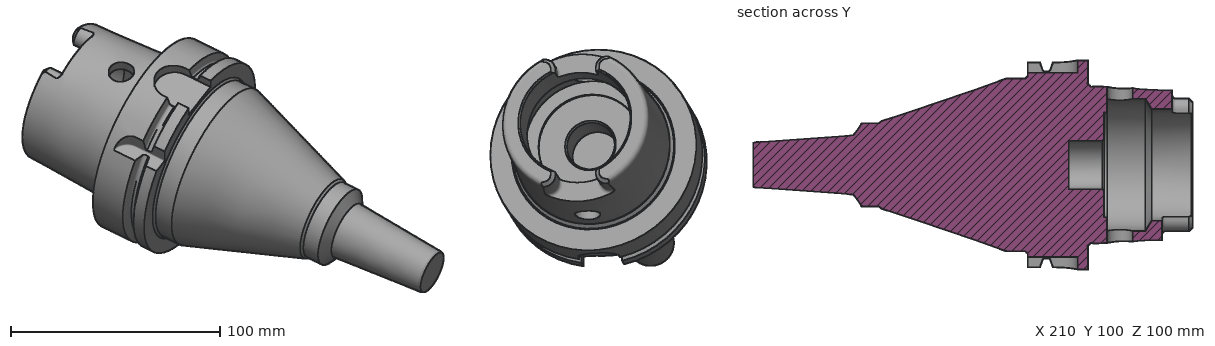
import cadquery as cq
import math

TOTAL_LENGTH = 210.0
FLANGE_START = 50.0
FLANGE_END = 79.0
FLANGE_RADIUS = 50.0

SHANK_BASE_RADIUS = 37.8
SHANK_TAPER = 1 / 20
SHANK_END_ROUND = 2.3
UNDERCUT_START = 47.5
UNDERCUT_RADIUS = 37.4
UNDERCUT_SLOPE = 0.6
UNDERCUT_FLOOR_END = 48.7
FACE_RELIEF_RADIUS = 39.7
FACE_RELIEF_SLOPE = 0.6
FACE_RELIEF_DEPTH = 0.5

GROOVE_CENTER = 70.0
GROOVE_FLOOR_RADIUS = 45.8
GROOVE_FLOOR_WIDTH = 3.2
GROOVE_MOUTH_WIDTH = 6.0
GROOVE_FLOOR_ROUND = 1.0

COLLAR_RADIUS = 41.4
COLLAR_END = 89.0
COLLAR_CHAMFER = 1.0
CONE_END = 148.7
CONE_END_RADIUS = 21.0
STEP_LENGTH = 1.3
RING_RADIUS = 20.0
RING_END = 158.1
TIP_START = 162.1
TIP_START_RADIUS = 14.3
TIP_END_RADIUS = 10.5
TIP_CHAMFER_LENGTH = 1.3
TIP_CHAMFER_HEIGHT = 0.5

BORE_RADIUS = 26.7
BORE_CHAMFER = 0.8
CAVITY_RADIUS = 31.5
CAVITY_START = 19.7
CAVITY_SHOULDER_LENGTH = 3.0
CAVITY_END = 41.0
RECESS_RADIUS = 25.0
RECESS_DEPTH = 1.5
TUBE_HOLE_RADIUS = 11.5
TUBE_HOLE_DEPTH = 16.8
TUBE_HOLE_CHAMFER = 0.8

CROSS_HOLE_X = 34.9
CROSS_HOLE_DIAMETER = 12.2

DRIVE_SLOT_WIDTH = 19.7
DRIVE_SLOT_DEPTH_TOP = 9.9
DRIVE_SLOT_DEPTH_BOTTOM = 14.7
DRIVE_SLOT_SHOULDER = 31.7
DRIVE_SLOT_WALL_ROUND = 5.2
DRIVE_SLOT_MOUTH_CHAMFER = 1.9
DRIVE_SLOT_FLOOR_ROUND = 1.7

KEYWAY_WIDTH = 19.7
KEYWAY_START = 55.0
KEYWAY_FLOOR = 44.0
NOTCH_START = 54.8
NOTCH_CORNER = 31.5
NOTCH_END_RADIUS = 7.8
NOTCH_CORNER_ROUND = 0.6


def make_body():
    """Outer profile turned about the X axis."""
    end_radius = SHANK_BASE_RADIUS - SHANK_TAPER * FLANGE_START
    undercut_rim = SHANK_BASE_RADIUS - SHANK_TAPER * (FLANGE_START - UNDERCUT_START)
    round_diagonal = SHANK_END_ROUND * (1 - math.sqrt(0.5))
    relief_x = FLANGE_START + FACE_RELIEF_DEPTH
    return (
        cq.Workplane("XY")
        .moveTo(0, 0)
        .lineTo(0, end_radius - SHANK_END_ROUND)
        .threePointArc(
            (round_diagonal, end_radius - round_diagonal),
            (SHANK_END_ROUND, end_radius + SHANK_TAPER * SHANK_END_ROUND),
        )
        .lineTo(UNDERCUT_START, undercut_rim)
        .lineTo(UNDERCUT_START + UNDERCUT_SLOPE, UNDERCUT_RADIUS)
        .lineTo(UNDERCUT_FLOOR_END, UNDERCUT_RADIUS)
        .lineTo(relief_x, FACE_RELIEF_RADIUS - FACE_RELIEF_SLOPE)
        .lineTo(FLANGE_START, FACE_RELIEF_RADIUS)
        .lineTo(FLANGE_START, FLANGE_RADIUS)
        .lineTo(FLANGE_END, FLANGE_RADIUS)
        .lineTo(FLANGE_END, COLLAR_RADIUS + COLLAR_CHAMFER)
        .lineTo(FLANGE_END + COLLAR_CHAMFER, COLLAR_RADIUS)
        .lineTo(COLLAR_END, COLLAR_RADIUS)
        .lineTo(CONE_END, CONE_END_RADIUS)
        .lineTo(CONE_END + STEP_LENGTH, RING_RADIUS)
        .lineTo(RING_END, RING_RADIUS)
        .lineTo(TIP_START, TIP_START_RADIUS)
        .lineTo(TOTAL_LENGTH - TIP_CHAMFER_LENGTH, TIP_END_RADIUS + TIP_CHAMFER_HEIGHT)
        .lineTo(TOTAL_LENGTH, TIP_END_RADIUS)
        .lineTo(TOTAL_LENGTH, 0)
        .close()
        .revolve(360, (0, 0, 0), (1, 0, 0))
    )


def make_groove():
    """V-shaped ring with rounded floor corners, turned about the X axis."""
    half_mouth = GROOVE_MOUTH_WIDTH / 2
    half_floor = GROOVE_FLOOR_WIDTH / 2
    ring = (
        cq.Workplane("XY")
        .moveTo(GROOVE_CENTER - half_mouth, FLANGE_RADIUS)
        .lineTo(GROOVE_CENTER - half_floor, GROOVE_FLOOR_RADIUS)
        .lineTo(GROOVE_CENTER + half_floor, GROOVE_FLOOR_RADIUS)
        .lineTo(GROOVE_CENTER + half_mouth, FLANGE_RADIUS)
        .close()
        .revolve(360, (0, 0, 0), (1, 0, 0))
    )
    return ring.edges(cq.selectors.RadiusNthSelector(0)).fillet(GROOVE_FLOOR_ROUND)


def make_bore():
    """Stepped hollow of the shank, turned about the X axis."""
    recess_end = CAVITY_END + RECESS_DEPTH
    hole_end = recess_end + TUBE_HOLE_DEPTH
    return (
        cq.Workplane("XY")
        .moveTo(0, 0)
        .lineTo(0, BORE_RADIUS + BORE_CHAMFER)
        .lineTo(BORE_CHAMFER, BORE_RADIUS)
        .lineTo(CAVITY_START, BORE_RADIUS)
        .lineTo(CAVITY_START + CAVITY_SHOULDER_LENGTH, CAVITY_RADIUS)
        .lineTo(CAVITY_END, CAVITY_RADIUS)
        .lineTo(CAVITY_END, RECESS_RADIUS)
        .lineTo(recess_end, RECESS_RADIUS)
        .lineTo(recess_end, TUBE_HOLE_RADIUS + TUBE_HOLE_CHAMFER)
        .lineTo(recess_end + TUBE_HOLE_CHAMFER, TUBE_HOLE_RADIUS)
        .lineTo(hole_end, TUBE_HOLE_RADIUS)
        .lineTo(hole_end, 0)
        .close()
        .revolve(360, (0, 0, 0), (1, 0, 0))
    )


def drive_slot_outline(plane_x, offset):
    """Slot section at plane_x, with its walls and shoulders moved outward by offset."""
    half_width = DRIVE_SLOT_WIDTH / 2 + offset
    shoulder_z = DRIVE_SLOT_SHOULDER - offset
    wall_round = DRIVE_SLOT_WALL_ROUND - offset
    wall_top = shoulder_z - wall_round
    shoulder_y = half_width + wall_round
    arc_mid_y = shoulder_y - wall_round * math.sqrt(0.5)
    arc_mid_z = wall_top + wall_round * math.sqrt(0.5)
    return (
        cq.Workplane("YZ", origin=(plane_x, 0, 0))
        .moveTo(-half_width, 0)
        .lineTo(-half_width, wall_top)
        .threePointArc((-arc_mid_y, arc_mid_z), (-shoulder_y, shoulder_z))
        .lineTo(-FLANGE_RADIUS, shoulder_z)
        .lineTo(-FLANGE_RADIUS, FLANGE_RADIUS)
        .lineTo(FLANGE_RADIUS, FLANGE_RADIUS)
        .lineTo(FLANGE_RADIUS, shoulder_z)
        .lineTo(shoulder_y, shoulder_z)
        .threePointArc((arc_mid_y, arc_mid_z), (half_width, wall_top))
        .lineTo(half_width, 0)
        .close()
    )


def make_drive_slot(depth):
    """Slot on the +Z side whose side walls curve outward to flat shoulders."""
    slot = drive_slot_outline(0, 0).extrude(depth)
    margin = 0.2
    reach = FLANGE_RADIUS - margin
    floor_corners = cq.selectors.BoxSelector(
        (depth - margin, -reach, margin),
        (depth + margin, reach, reach),
    )
    slot = slot.edges(floor_corners).fillet(DRIVE_SLOT_FLOOR_ROUND)
    mouth = drive_slot_outline(0, DRIVE_SLOT_MOUTH_CHAMFER).wires().val()
    throat = drive_slot_outline(DRIVE_SLOT_MOUTH_CHAMFER, 0).wires().val()
    flare = cq.Solid.makeLoft([mouth, throat], True)
    return slot.union(cq.Workplane(obj=flare))


def make_keyway():
    """Round-ended flat keyway on the +Z side, open toward the nose."""
    radius = KEYWAY_WIDTH / 2
    center_x = KEYWAY_START + radius
    length = FLANGE_END - center_x
    floor_plane = cq.Workplane("XY", origin=(center_x, 0, KEYWAY_FLOOR))
    round_end = floor_plane.circle(radius).extrude(FLANGE_RADIUS)
    straight = floor_plane.box(length, KEYWAY_WIDTH, FLANGE_RADIUS, centered=(False, True, False))
    return round_end.union(straight)


def make_notch():
    """Square-cornered notch at 45 degrees between -Y and +Z, rounded at its closed end."""
    size = FLANGE_RADIUS
    return (
        cq.Workplane("XY")
        .box(FLANGE_END - NOTCH_START, size, size, centered=False)
        .edges("<X and >Y")
        .fillet(NOTCH_END_RADIUS)
        .faces("<Z")
        .edges(">Y")
        .fillet(NOTCH_CORNER_ROUND)
        .translate((NOTCH_START, -NOTCH_CORNER - size, NOTCH_CORNER))
    )


def on_opposite_side(shape):
    """Turn a +Z side cutter about the X axis to the -Z side."""
    return shape.rotate((0, 0, 0), (1, 0, 0), 180)


cross_hole = (
    cq.Workplane("XY")
    .center(CROSS_HOLE_X, 0)
    .circle(CROSS_HOLE_DIAMETER / 2)
    .extrude(FLANGE_RADIUS, both=True)
)

result = (
    make_body()
    .cut(make_groove())
    .cut(make_bore())
    .cut(make_drive_slot(DRIVE_SLOT_DEPTH_TOP))
    .cut(on_opposite_side(make_drive_slot(DRIVE_SLOT_DEPTH_BOTTOM)))
    .cut(cross_hole)
    .cut(make_keyway())
    .cut(on_opposite_side(make_keyway()))
    .cut(make_notch())
)